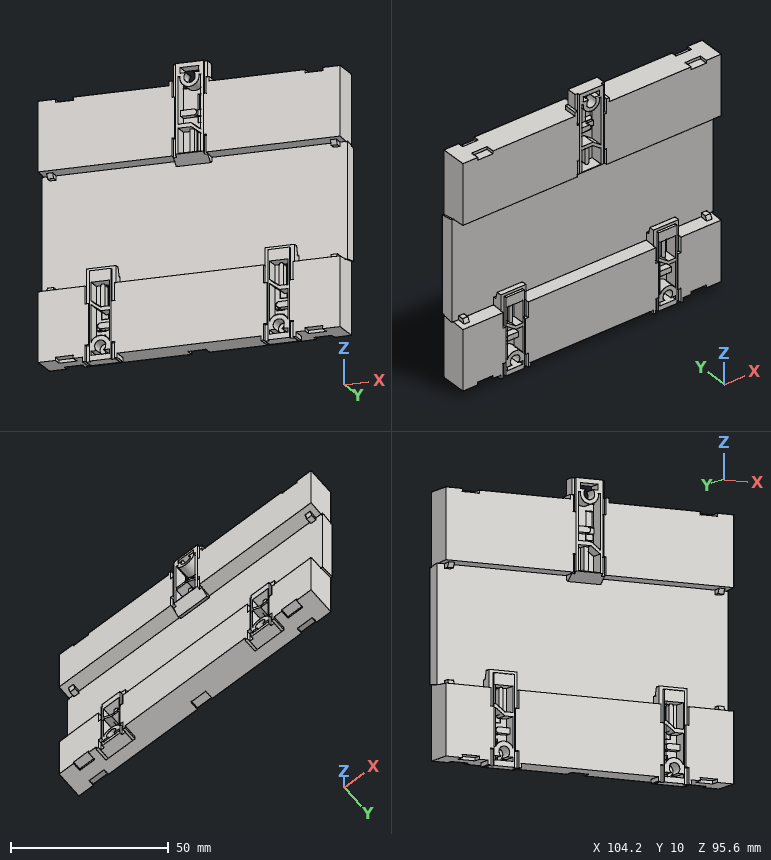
import cadquery as cq
import math


overall_width = 104.2
body_width = 103.0
body_depth = 10.0
half_height = 43.5
floor_depth = 5.0
channel_half_front = 19.9
channel_half_floor = 19.6
wing_half_back = 18.9

snap_width = 6.0
snap_offset = 42.5
snap_height = 1.0
front_snap_depth = 3.1
middle_snap_depth = 3.3
ramp_depth = 2.2

stop_width = 2.1
stop_offset = 48.4
stop_crest_z = 18.1
stop_crest_depth = 7.1
stop_depth = 7.9

collar_end = 44.9
lip_inner = 25.8
lip_outer = 39.5
lip_gap = 0.2
flange_depth = 8.8
clip_front_depth = 9.7
bottom_clip_places = (-30.4, 30.4)
clip_depths = (floor_depth, clip_front_depth)
slot_inner_end = -16.7

catch_depth = 1.0
shelf_depth = 0.2
groove_depth = 0.4

hole_diameter = 3.8
rib_height = 1.4
rib_rise = 2.4
spring_depth = 7.4
tab_depth = 6.0
finger_width = 1.6
tongue_height = 2.0
tip_gap = 0.2
shoulder_drop = 0.4

BOTTOM_CLIP = dict(
    half_width=5.0, half_core=3.6, half_window=3.1, collar_half=5.9,
    end_z=-44.9, window_top=-18.8, hole_z=-40.2, ring_diameter=7.0,
    slot_z=(-43.0, -41.7), half_slot=3.1,
    rib_z=-27.9, rib_bend_x=0.2, tongue_z=-32.8, tongue_tip_x=-1.8, tab_tip_x=-2.5,
    hook=[(floor_depth, -16.7), (6.0, -16.6), (6.9, -13.9), (flange_depth, -13.9),
          (flange_depth, -14.9), (clip_front_depth, -14.9)],
    catch_x=(-2.5, 0.0), catch_z=(-42.4, -35.3), shelf_z=(-34.0, -32.0),
    groove_x=(-1.5, 1.0), groove_z=(-30.0, -18.8),
)
TOP_CLIP = dict(
    half_width=5.8, half_core=4.8, half_window=3.9, collar_half=6.9,
    end_z=-50.7, window_top=-20.6, hole_z=-45.8, ring_diameter=6.6,
    slot_z=(-49.1, -47.2), half_slot=3.1,
    rib_z=-29.7, rib_bend_x=-0.6, tongue_z=-34.6, tongue_tip_x=-1.6, tab_tip_x=-3.5,
    hook=[(floor_depth, -18.2), (6.1, -17.5), (clip_front_depth, -20.4)],
    catch_x=(-3.9, -1.1), catch_z=(-41.2, -35.3), shelf_z=(-35.3, -31.7),
    groove_x=(-0.9, 1.5), groove_z=(-29.7, -20.6),
)


def block(x_range, depth_range, z_range):
    """Box between two x values, two depths from the back face toward -Y and two heights."""
    size = (x_range[1] - x_range[0], depth_range[1] - depth_range[0], z_range[1] - z_range[0])
    corner = cq.Vector(x_range[0], -depth_range[1], z_range[0])
    return cq.Workplane("XY").box(*size, centered=False).translate(corner)


def side_prism(profile, x_range):
    """Extrude a (depth, z) outline along X."""
    points = [(-depth, z) for depth, z in profile]
    return (cq.Workplane("YZ", origin=(x_range[0], 0, 0))
            .polyline(points).close().extrude(x_range[1] - x_range[0]))


def front_plane(depth):
    """Sketch plane at a depth; local x is X, local y is Z, extrusion goes toward -Y."""
    return cq.Workplane("XZ", origin=(0, -depth, 0))


def span(half):
    return (-half, half)


def turned(shape):
    """Half turn about the Y axis."""
    return shape.rotate((0, 0, 0), (0, 1, 0), 180)


def channel_half(depth):
    """Half height of the channel between its sloping walls at a given depth."""
    slope = (channel_half_front - channel_half_floor) / (body_depth - floor_depth)
    return channel_half_floor + slope * (depth - floor_depth)


def tapered_profile(start, half_start, end, half_end):
    """Symmetric (depth, z) outline whose half height changes from one depth to another."""
    return [(start, -half_start), (end, -half_end), (end, half_end), (start, half_start)]


def rounded_bar(half_height, start, tip):
    """Spring bar outline along local X from start to the end of its round tip."""
    shoulder = tip - math.copysign(half_height, tip - start)
    return (front_plane(floor_depth).moveTo(start, -half_height).lineTo(shoulder, -half_height)
            .threePointArc((tip, 0), (shoulder, half_height)).lineTo(start, half_height)
            .close().extrude(spring_depth - floor_depth))


def make_frame(shape):
    """Clip body with the hook profile, side flanges and a window between the walls."""
    end = shape["end_z"]
    profile = shape["hook"] + [(clip_front_depth, end), (floor_depth, end)]
    frame = side_prism(profile, span(shape["half_width"]))
    for side in (-1, 1):
        edge = sorted((side * shape["half_core"], side * shape["half_width"]))
        frame = frame.cut(block(edge, (flange_depth, body_depth), (end, 0)))
    window_bottom = shape["hole_z"] - shoulder_drop
    window = block(span(shape["half_window"]), clip_depths, (window_bottom, shape["window_top"]))
    return frame.cut(window)


def add_keyhole(frame, shape):
    """Ring with a round hole that opens into a cross slot near the lower end."""
    thickness = clip_front_depth - floor_depth
    centre = front_plane(floor_depth).center(0, shape["hole_z"])
    ring = centre.circle(shape["ring_diameter"] / 2).extrude(thickness)
    ring = ring.intersect(block(span(shape["half_window"]), clip_depths, (shape["end_z"], 0)))
    hole = centre.circle(hole_diameter / 2).extrude(thickness)
    slot = block(span(shape["half_slot"]), clip_depths, shape["slot_z"])
    return frame.union(ring).cut(hole).cut(slot)


def make_rib(shape):
    """Bent rib across the window: level on the right, rising to the left wall."""
    half_window = shape["half_window"]
    low = shape["rib_z"] - rib_height / 2
    high = low + rib_height
    bend = shape["rib_bend_x"]
    points = [(half_window, low), (bend, low), (-half_window, low + rib_rise),
              (-half_window, high + rib_rise), (bend, high), (half_window, high)]
    return (front_plane(floor_depth).polyline(points).close()
            .extrude(clip_front_depth - floor_depth))


def make_tab(shape):
    """Thin tab that continues the tongue past its round tip."""
    middle = shape["tongue_z"]
    z_range = (middle - tongue_height / 2, middle + tongue_height / 2)
    x_range = (shape["tab_tip_x"], shape["tongue_tip_x"] + tongue_height / 2)
    return block(x_range, (floor_depth, tab_depth), z_range)


def make_clip(shape):
    """One clip with its hook up and its keyhole down, centred on x = 0."""
    finger = rounded_bar(finger_width / 2, shape["rib_z"], shape["window_top"] - tip_gap)
    finger = finger.rotate((0, 0, 0), (0, 1, 0), -90)
    tongue = rounded_bar(tongue_height / 2, shape["half_window"], shape["tongue_tip_x"])
    tongue = tongue.translate((0, 0, shape["tongue_z"]))
    clip = add_keyhole(make_frame(shape), shape)
    return clip.union(make_rib(shape)).union(finger).union(tongue).union(make_tab(shape))


def make_clip_slot(shape):
    """Everything cut from the housing for one clip."""
    full_length = (-collar_end, slot_inner_end)
    wide = span(shape["half_width"])
    front_depths = (flange_depth, body_depth)
    slot = block(wide, (floor_depth, flange_depth), full_length)
    slot = slot.union(block(span(shape["half_core"] + lip_gap), front_depths, full_length))
    for z_range in ((-collar_end, -lip_outer), (-lip_inner, slot_inner_end)):
        slot = slot.union(block(wide, front_depths, z_range))
    groove = block(shape["groove_x"], (floor_depth - groove_depth, floor_depth), shape["groove_z"])
    return slot.union(groove).union(make_catch(shape))


def make_catch(shape):
    """Recess in the slot floor with a 45 degree ramp at its upper end, and a shallow shelf."""
    low, high = shape["catch_z"]
    deep = floor_depth - catch_depth
    profile = [(floor_depth, low), (deep, low), (deep, high - catch_depth), (floor_depth, high)]
    shelf = block(shape["catch_x"], (floor_depth - shelf_depth, floor_depth), shape["shelf_z"])
    return side_prism(profile, shape["catch_x"]).union(shelf)


def make_collar(shape):
    return block(span(shape["collar_half"]), (floor_depth, body_depth), (-collar_end, -half_height))


def make_snap_cutters():
    """Recesses along the upper edge: front boxes, back ramps and a middle notch."""
    lower = half_height - snap_height
    middle = block(span(snap_width / 2), (0, middle_snap_depth), (lower, half_height))
    cutters = [middle]
    front = (body_depth - front_snap_depth, body_depth)
    ramp = [(0, lower), (ramp_depth, half_height), (0, half_height)]
    for centre in (-snap_offset, snap_offset):
        x_range = (centre - snap_width / 2, centre + snap_width / 2)
        cutters.append(block(x_range, front, (lower, half_height)))
        cutters.append(side_prism(ramp, x_range))
    return cutters


def make_stops():
    """Chamfered stops on the lower wall of the channel."""
    profile = [(floor_depth, -stop_crest_z), (stop_crest_depth, -stop_crest_z),
               (stop_depth, -channel_half(stop_depth)),
               (floor_depth, -channel_half(floor_depth))]
    stops = []
    for centre in (-stop_offset, stop_offset):
        stops.append(side_prism(profile, (centre - stop_width / 2, centre + stop_width / 2)))
    return stops


def make_housing():
    half_body = span(body_width / 2)
    housing = block(half_body, (0, body_depth), span(half_height))
    channel = tapered_profile(floor_depth, channel_half_floor, body_depth, channel_half_front)
    housing = housing.cut(side_prism(channel, half_body))
    wings = tapered_profile(0, wing_half_back, floor_depth, channel_half_floor)
    housing = housing.union(side_prism(wings, span(overall_width / 2)))
    for stop in make_stops():
        housing = housing.union(stop).union(turned(stop))
    for cutter in make_snap_cutters():
        housing = housing.cut(cutter).cut(turned(cutter))
    for x in bottom_clip_places:
        housing = housing.union(make_collar(BOTTOM_CLIP).translate((x, 0, 0)))
        housing = housing.cut(make_clip_slot(BOTTOM_CLIP).translate((x, 0, 0)))
    housing = housing.union(turned(make_collar(TOP_CLIP)))
    return housing.cut(turned(make_clip_slot(TOP_CLIP)))


housing = make_housing()
top_clip = turned(make_clip(TOP_CLIP))
bottom_clips = [make_clip(BOTTOM_CLIP).translate((x, 0, 0)) for x in bottom_clip_places]

result = cq.Compound.makeCompound([
    housing.solids().val(),
    top_clip.solids().val(),
    *[clip.solids().val() for clip in bottom_clips],
])